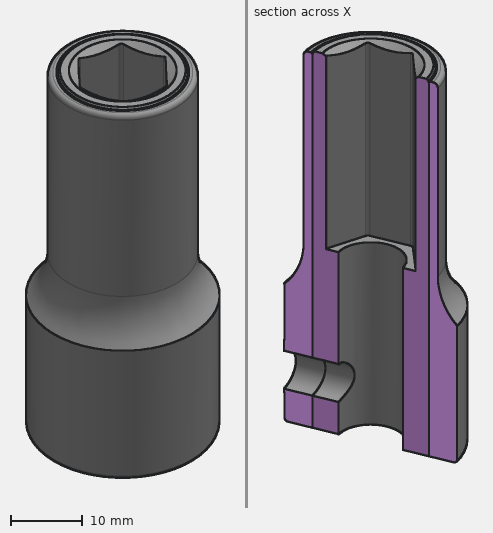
import cadquery as cq
import math

sleeve_height = 60.0
nose_radius = 10.5
drive_end_radius = 13.5
flare_radius = 10.0
flare_top_z = 29.15
nose_round = 0.75
base_round = 0.6
sleeve_bore_radius = 9.05
sleeve_mouth_chamfer = 0.2

core_height = 60.3
core_edge_chamfer = 0.3
through_bore_radius = 5.0

hex_across_flats = 12.15
hex_corner_round = 0.6
hex_floor_z = flare_top_z
lead_in_radius = 7.5
lead_in_angle = 30.0

retaining_hole_radius = 3.0
retaining_hole_z = 8.2


def make_retaining_hole():
    """Cylinder from the axis out through the +Y wall."""
    return (
        cq.Workplane("XZ")
        .center(0, retaining_hole_z)
        .circle(retaining_hole_radius)
        .extrude(-2 * drive_end_radius)
    )


def make_sleeve():
    flare_step = drive_end_radius - nose_radius
    flare_sweep = math.acos(1 - flare_step / flare_radius)
    flare_bottom_z = flare_top_z - flare_radius * math.sin(flare_sweep)
    flare_middle = (
        nose_radius + flare_radius * (1 - math.cos(flare_sweep / 2)),
        flare_top_z - flare_radius * math.sin(flare_sweep / 2),
    )
    body = (
        cq.Workplane("XZ")
        .lineTo(drive_end_radius, 0)
        .lineTo(drive_end_radius, flare_bottom_z)
        .threePointArc(flare_middle, (nose_radius, flare_top_z))
        .lineTo(nose_radius, sleeve_height)
        .lineTo(0, sleeve_height)
        .close()
        .revolve(360, (0, 0, 0), (0, 1, 0))
    )
    body = body.faces(">Z").edges().fillet(nose_round)
    body = body.faces("<Z").edges().fillet(base_round)
    core_seat = cq.Workplane("XY").circle(sleeve_bore_radius).extrude(sleeve_height)
    body = body.cut(core_seat)
    mouth = cq.selectors.RadiusNthSelector(0)
    body = body.faces(">Z").edges(mouth).chamfer(sleeve_mouth_chamfer)
    return body.cut(make_retaining_hole())


def make_hex_recess():
    hex_across_corners = hex_across_flats / math.cos(math.radians(30))
    return (
        cq.Workplane("XY")
        .workplane(offset=hex_floor_z)
        .polygon(6, hex_across_corners)
        .extrude(core_height - hex_floor_z)
        .edges("|Z")
        .fillet(hex_corner_round)
        .rotate((0, 0, 0), (0, 0, 1), 30)
    )


def make_lead_in():
    """Cone, point down, that bevels the mouth of the hexagon."""
    cone_depth = lead_in_radius * math.tan(math.radians(lead_in_angle))
    return (
        cq.Workplane("XZ")
        .moveTo(0, core_height)
        .lineTo(lead_in_radius, core_height)
        .lineTo(0, core_height - cone_depth)
        .close()
        .revolve(360, (0, 0, 0), (0, 1, 0))
    )


def make_core():
    core = cq.Workplane("XY").circle(sleeve_bore_radius).extrude(core_height)
    core = core.faces(">Z").edges().chamfer(core_edge_chamfer)
    through_bore = cq.Workplane("XY").circle(through_bore_radius).extrude(core_height)
    core = core.cut(through_bore).cut(make_hex_recess()).cut(make_lead_in())
    return core.cut(make_retaining_hole())


sleeve = make_sleeve()
core = make_core()
result = cq.Compound.makeCompound([sleeve.val(), core.val()])